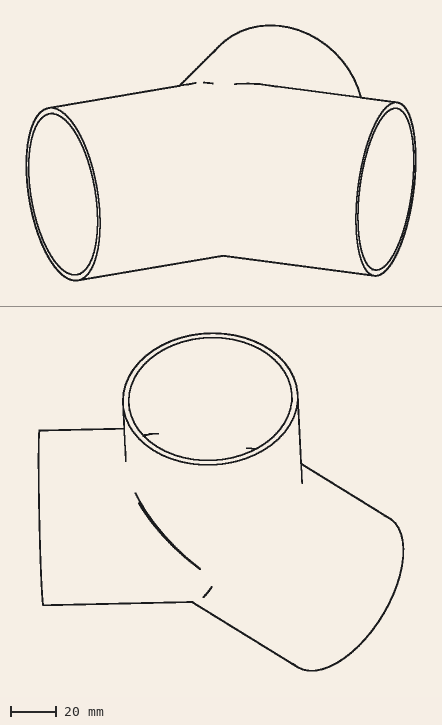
import cadquery as cq
import math

outer_diameter = 76.1
bore_diameter = 71.0
overall_width = 161.3
branch_angle = 45.0
outer_seam_radius = 0.8
crotch_bore_radius = 3.0

outer_radius = outer_diameter / 2
lean = math.radians(branch_angle)
arm_length = (overall_width / 2 - outer_radius * math.cos(lean)) / math.sin(lean)

arm_directions = [
    (0, -1, 0),
    (math.sin(lean), math.cos(lean), 0),
    (-math.sin(lean), math.cos(lean), 0),
]


def joined_cylinders(diameter):
    """Y of three equal cylinders, each running from the origin to its arm end."""
    origin = cq.Vector(0, 0, 0)
    arms = cq.Workplane()
    for direction in arm_directions:
        arms = arms.add(
            cq.Solid.makeCylinder(diameter / 2, arm_length, origin, cq.Vector(*direction))
        )
    return arms.combine()


outside = joined_cylinders(outer_diameter).edges("%ELLIPSE").fillet(outer_seam_radius)

crotch_region = cq.selectors.BoxSelector(
    (-crotch_bore_radius, 0, -bore_diameter),
    (crotch_bore_radius, overall_width, bore_diameter),
)
bores = (
    joined_cylinders(bore_diameter)
    .edges("%ELLIPSE")
    .edges(crotch_region)
    .fillet(crotch_bore_radius)
)

result = outside.cut(bores).solids()